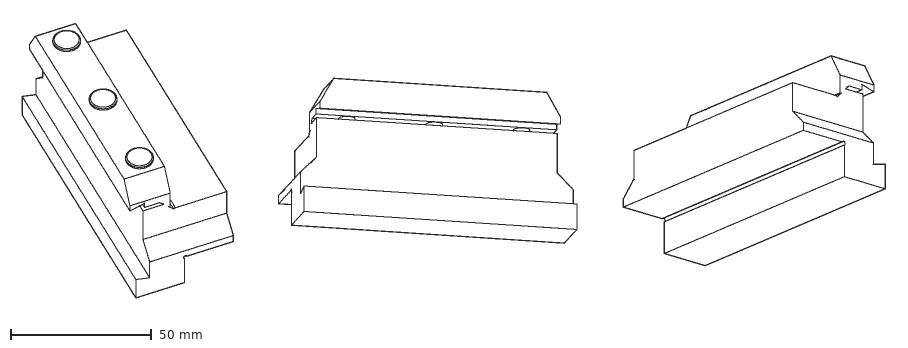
import cadquery as cq
import math

length = 100.0
depth = 38.0
top_z = 50.0
shoulder = 5.9
shoulder_z = 16.1
clamp_bevel = 5.1
bevel_height = clamp_bevel * math.tan(math.radians(60))

foot_back = 19.0
ledge_bottom = 13.0
ledge_top = 32.9
wall_y = 5.4
foot_tip_z = 9.4
jaw_slope = math.tan(math.radians(14))

bar_front = 0.3
bar_back = 16.0
jaw_y = 6.0
jaw_tip_z = 38.6
slot_bottom = 36.5
slot_height = 1.5
slot_end = 13.4
neck_cut_z = 34.4
neck_cut_in = 0.5
neck_cut_depth = 0.3
neck_cut_run = 0.7
relief_radius = 0.7
relief_inset = 0.3

screw_pitch = 32.0
screw_y = 9.4
head_diameter = 9.9
head_height = 1.0
head_chamfer_height = 0.3
head_chamfer_width = 0.5
shank_diameter = 5.9


def body_profile():
    """Cross-section with its dovetail jaws and corner reliefs."""
    slot_top = slot_bottom + slot_height
    neck_y = bar_back - neck_cut_in
    cut_low = ledge_top - neck_cut_depth
    relief_y = foot_back + relief_inset
    relief_z = ledge_bottom - relief_inset
    relief_reach = math.sqrt(relief_radius**2 - relief_inset**2)
    relief_diagonal = relief_radius * math.sqrt(0.5)
    cut_end = neck_y + neck_cut_z - cut_low
    return (
        cq.Workplane("YZ")
        .moveTo(0, 0)
        .lineTo(0, foot_tip_z)
        .lineTo(wall_y, foot_tip_z - wall_y * jaw_slope)
        .lineTo(wall_y, slot_bottom)
        .lineTo(slot_end, slot_bottom)
        .lineTo(slot_end - slot_height, slot_top)
        .lineTo(jaw_y, slot_top)
        .lineTo(jaw_y, jaw_tip_z + (jaw_y - bar_front) * jaw_slope)
        .lineTo(bar_front, jaw_tip_z)
        .lineTo(bar_front, top_z)
        .lineTo(bar_back, top_z)
        .lineTo(bar_back, neck_cut_z)
        .lineTo(neck_y, neck_cut_z)
        .lineTo(cut_end, cut_low)
        .lineTo(cut_end + neck_cut_run, ledge_top)
        .lineTo(depth, ledge_top)
        .lineTo(depth, ledge_bottom)
        .lineTo(relief_y + relief_reach, ledge_bottom)
        .threePointArc(
            (relief_y - relief_diagonal, relief_z + relief_diagonal),
            (foot_back, relief_z - relief_reach),
        )
        .lineTo(foot_back, 0)
        .close()
    )


def end_outline():
    """Front silhouette, symmetric about the middle of the length."""
    half = length / 2
    half_body = half - shoulder
    right_side = [
        (half, 0),
        (half, shoulder_z),
        (half_body, shoulder_z + shoulder),
        (half_body, top_z - bevel_height),
        (half_body - clamp_bevel, top_z),
    ]
    left_side = [(-x, z) for x, z in reversed(right_side)]
    return cq.Workplane("XZ").polyline(right_side + left_side).close()


def screw(x):
    """Screw with a chamfered head above the bar and a shank crossing the slot."""
    head = (
        cq.Workplane("XY", origin=(x, screw_y, top_z))
        .circle(head_diameter / 2)
        .extrude(head_height)
        .faces(">Z")
        .chamfer(head_chamfer_height, head_chamfer_width)
    )
    shank = (
        cq.Workplane("XY", origin=(x, screw_y, slot_bottom))
        .circle(shank_diameter / 2)
        .extrude(top_z - slot_bottom)
    )
    return head.union(shank)


body = body_profile().extrude(length / 2, both=True)
result = body.intersect(end_outline().extrude(-depth))
for position in (-1, 0, 1):
    result = result.union(screw(position * screw_pitch))